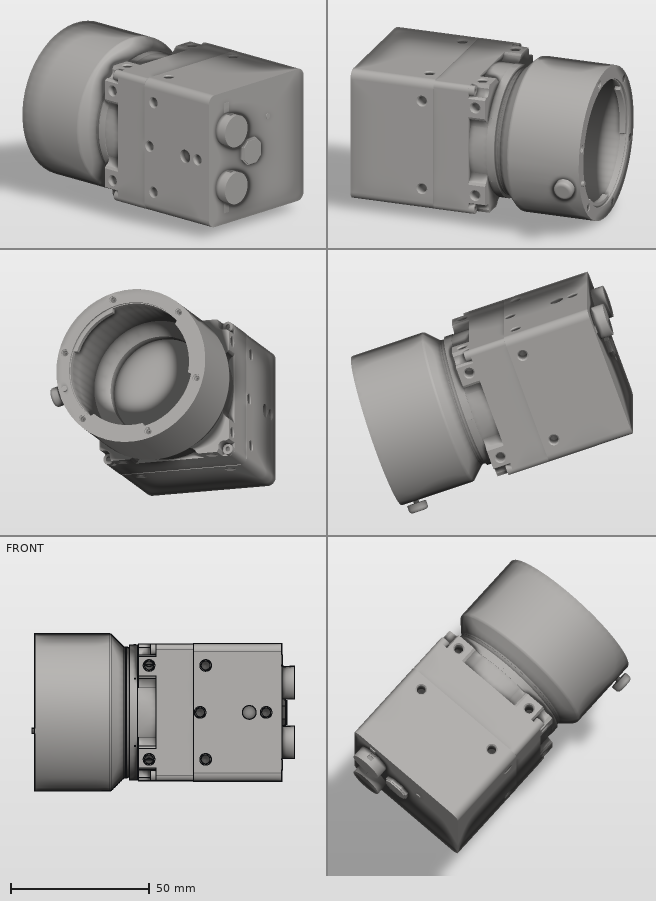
import cadquery as cq
import math


BARREL_DIAMETER = 57.0
CONE_START = 27.5
BARREL_EDGE_RADIUS = 1.2
NECK_DIAMETER = 47.5
NECK_GROOVE_START = 32.8
NECK_GROOVE_WIDTH = 0.5
NECK_GROOVE_DEPTH = 0.2
NECK_TAPER_START = NECK_GROOVE_START + NECK_GROOVE_WIDTH
NECK_TAPER_DEPTH = 0.4
FLANGE_DIAMETER = 49.0
FLANGE_START = 34.3
ADAPTER_LENGTH = 37.2

MOUTH_RADIUS = 23.6
MOUTH_DEPTH = 0.8
LIP_RADIUS = 23.3
LIP_END = 3.0
BORE_RADIUS = 23.5
BORE_CONE_START = 28.1
APERTURE_RADIUS = 18.85

TAB_ANGLES = (45.0, 165.0, 285.0)
TAB_INNER_RADIUS = 22.0
TAB_APEX_OFFSET = 10.2

RING_SCREW_COUNT = 6
RING_SCREW_START_ANGLE = 15.0
RING_SCREW_CIRCLE_RADIUS = 26.0
RING_SCREW_RECESS_DIAMETERS = (3.0, 2.2, 1.9, 0.7)
RING_SCREW_STEP_DEPTH = 0.4

RIM_HOLE_COUNT = 6
RIM_HOLE_START_ANGLE = 30.0
RIM_HOLE_DIAMETER = 0.3
RIM_HOLE_X = 36.3
RIM_HOLE_DEPTH = 1.0

LATCH_ANGLE = -15.0
PIN_DIAMETER = 2.0
PIN_CIRCLE_RADIUS = RING_SCREW_CIRCLE_RADIUS
PIN_HEIGHT = 1.0
THUMB_SCREW_X = 5.2
STEM_DIAMETER = 2.0
STEM_ROOT_RADIUS = 27.0
KNOB_DIAMETER = 7.2
KNOB_INNER_RADIUS = 29.4
KNOB_OUTER_RADIUS = 32.5
KNOB_EDGE_RADIUS = 1.2

HUB_RADIUS = 24.3
FRONT_FACE = 37.55
NOTCH_END = 44.0
FRONT_BLOCK_END = 57.5
REAR_FACE = 89.5
FRONT_BLOCK_SIZE = 49.6
FRONT_BLOCK_CORNER_RADIUS = 2.0
REAR_BLOCK_SIZE = 50.0
REAR_BLOCK_CORNER_RADIUS = 3.0

NOTCH_HALF_WIDTH = 13.1
NOTCH_WALL_HALF_WIDTH = 12.2
NOTCH_FLOOR_HALF_WIDTH = 9.05
NOTCH_LEAD_DEPTH = 0.6

CORNER_SCREW_OFFSET = 22.85
CORNER_HEAD_DIAMETER = 3.8
CORNER_HEAD_HEIGHT = 2.1
CORNER_SOCKET_DIAMETER = 1.9
CORNER_SOCKET_DEPTH = 1.2
CORNER_POCKET_RADIUS = 2.15
POCKET_FLARE_START = 0.65
POCKET_FLARE_WIDTH = 2.65

TAP_DIAMETER = 3.24
FRONT_TAP_DEPTH = 7.5
REAR_TAP_DEPTH = 5.0
TAP_CHAMFER_DIAMETER = 4.2
DRILL_POINT_ANGLE = 118.0
TAP_SPACING = 17.0
FRONT_TAP_X = 41.4
REAR_TAP_X = 61.9
MIDDLE_TAP_XS = (59.9, 83.8)
PORT_X = 77.7
PORT_DIAMETER = 4.98
PORT_DEPTH = 2.0

ROUND_CONNECTOR_DIAMETER = 11.9
ROUND_CONNECTOR_LENGTH = 4.6
ROUND_CONNECTOR_Y = -15.4
ROUND_CONNECTOR_Z = 10.8
KEYWAY_WIDTH = 2.2
KEYWAY_START = REAR_FACE + 0.6
KEYWAY_STEP = REAR_FACE + 1.4
KEYWAY_END = REAR_FACE + 2.9
KEYWAY_SHALLOW_DEPTH = 0.3
KEYWAY_DEEP_DEPTH = 0.8
SOCKET_Y = -3.8
SOCKET_SIZE = 9.6
SOCKET_CORNER_CHAMFER = 2.5
SOCKET_BASE_LENGTH = 1.3
SOCKET_LENGTH = 1.8
SOCKET_STEP = 0.5
PAD_THICKNESS = 0.3
PAD_Y = -16.0
PAD_Z = 19.0
PAD_WIDTH = 2.5
PAD_HEIGHT = 3.6
LAMP_DIAMETER = 2.0
LAMP_Y = 6.0
LAMP_Z = ROUND_CONNECTOR_Z

CLEARANCE = 1.0
MIRROR_SIGNS = (-1, 1)
QUARTER_TURNS = (0, 90, 180, 270)


def yz_plane(x):
    """Plane across the optical axis at x: local axes are Y and Z, normal +X."""
    return cq.Workplane("YZ", origin=(x, 0, 0))


def disc(x, radius, length, y=0.0, z=0.0):
    """Cylinder along +X starting at x."""
    return yz_plane(x).center(y, z).circle(radius).extrude(length)


def rounded_block(x_start, x_end, size, corner_radius):
    return yz_plane(x_start).rect(size, size).extrude(x_end - x_start).edges("|X").fillet(corner_radius)


def turned(points):
    """Solid of revolution about the X axis from (x, radius) points."""
    return cq.Workplane("XY").polyline(points).close().revolve(360, (0, 0, 0), (1, 0, 0))


def about_axis(shape, angle):
    return shape.rotate((0, 0, 0), (1, 0, 0), angle)


def adapter_shell():
    barrel_radius = BARREL_DIAMETER / 2
    neck_radius = NECK_DIAMETER / 2
    flange_radius = FLANGE_DIAMETER / 2
    cone_end = CONE_START + barrel_radius - neck_radius
    outside = turned([
        (0, 0),
        (0, barrel_radius),
        (CONE_START, barrel_radius),
        (cone_end, neck_radius),
        (NECK_TAPER_START, neck_radius),
        (FLANGE_START, neck_radius - NECK_TAPER_DEPTH),
        (FLANGE_START, flange_radius),
        (ADAPTER_LENGTH, flange_radius),
        (ADAPTER_LENGTH, 0),
    ])
    edge_reach = barrel_radius + CLEARANCE
    barrel_edge = cq.selectors.BoxSelector(
        (CONE_START - CLEARANCE, -edge_reach, -edge_reach),
        (CONE_START + CLEARANCE, edge_reach, edge_reach),
    )
    outside = outside.edges(barrel_edge).fillet(BARREL_EDGE_RADIUS)

    bore_cone_end = BORE_CONE_START + BORE_RADIUS - APERTURE_RADIUS
    inside = turned([
        (0, 0),
        (0, MOUTH_RADIUS),
        (MOUTH_DEPTH, MOUTH_RADIUS),
        (MOUTH_DEPTH, LIP_RADIUS),
        (LIP_END, LIP_RADIUS),
        (LIP_END, BORE_RADIUS),
        (BORE_CONE_START, BORE_RADIUS),
        (bore_cone_end, APERTURE_RADIUS),
        (ADAPTER_LENGTH, APERTURE_RADIUS),
        (ADAPTER_LENGTH, 0),
    ])
    groove = (
        yz_plane(NECK_GROOVE_START)
        .circle(neck_radius + CLEARANCE)
        .circle(neck_radius - NECK_GROOVE_DEPTH)
        .extrude(NECK_GROOVE_WIDTH)
    )
    return outside.cut(inside).cut(groove)


def bayonet_tab(angle):
    """Ring segment in the barrel wall, its ends on a right-angled V opening along the angle."""
    length = LIP_END - MOUTH_DEPTH
    root_radius = (LIP_RADIUS + BARREL_DIAMETER / 2) / 2
    ring = yz_plane(MOUTH_DEPTH).circle(root_radius).circle(TAB_INNER_RADIUS).extrude(length)
    wedge = (
        yz_plane(MOUTH_DEPTH)
        .rect(BARREL_DIAMETER, BARREL_DIAMETER, centered=False)
        .extrude(length)
        .rotate((0, 0, 0), (1, 0, 0), -45)
        .translate((0, TAB_APEX_OFFSET, 0))
    )
    return ring.intersect(about_axis(wedge, angle))


def ring_screw_recess():
    """Round recess that narrows in steps of equal depth down to the screw socket."""
    recess = cq.Workplane("YZ")
    for step, diameter in enumerate(RING_SCREW_RECESS_DIAMETERS, start=1):
        depth = step * RING_SCREW_STEP_DEPTH
        recess = recess.add(disc(0, diameter / 2, depth, RING_SCREW_CIRCLE_RADIUS))
    return recess.combine()


def rim_hole():
    """Small radial hole entering the flange rim on the +Y side."""
    return (
        cq.Workplane("XZ", origin=(RIM_HOLE_X, FLANGE_DIAMETER / 2, 0))
        .circle(RIM_HOLE_DIAMETER / 2)
        .extrude(RIM_HOLE_DEPTH)
    )


def index_pin():
    pin = disc(-PIN_HEIGHT, PIN_DIAMETER / 2, 2 * PIN_HEIGHT, y=PIN_CIRCLE_RADIUS)
    return about_axis(pin, LATCH_ANGLE)


def thumb_screw():
    """Stem and rounded knob along the radial direction of the latch angle."""
    stem = (
        cq.Workplane("XZ", origin=(THUMB_SCREW_X, STEM_ROOT_RADIUS, 0))
        .circle(STEM_DIAMETER / 2)
        .extrude(STEM_ROOT_RADIUS - KNOB_INNER_RADIUS)
    )
    knob = (
        cq.Workplane("XZ", origin=(THUMB_SCREW_X, KNOB_INNER_RADIUS, 0))
        .circle(KNOB_DIAMETER / 2)
        .extrude(KNOB_INNER_RADIUS - KNOB_OUTER_RADIUS)
        .faces(">Y")
        .edges()
        .fillet(KNOB_EDGE_RADIUS)
    )
    return about_axis(stem.union(knob), LATCH_ANGLE)


def build_adapter():
    body = adapter_shell()
    for angle in TAB_ANGLES:
        body = body.union(bayonet_tab(angle))
    for number in range(RING_SCREW_COUNT):
        angle = RING_SCREW_START_ANGLE + number * 360 / RING_SCREW_COUNT
        body = body.cut(about_axis(ring_screw_recess(), angle))
    for number in range(RIM_HOLE_COUNT):
        angle = RIM_HOLE_START_ANGLE + number * 360 / RIM_HOLE_COUNT
        body = body.cut(about_axis(rim_hole(), angle))
    return body.union(index_pin()).union(thumb_screw())


def side_notch():
    """Notch on the +Z side: sloped lead-ins, then concave walls running into the hub."""
    surface = FRONT_BLOCK_SIZE / 2
    above = surface + CLEARANCE
    wall_top = surface - NOTCH_LEAD_DEPTH
    floor = math.sqrt(HUB_RADIUS ** 2 - NOTCH_FLOOR_HALF_WIDTH ** 2)
    bulge = math.sqrt(0.5)
    arc_y = NOTCH_FLOOR_HALF_WIDTH + bulge * (NOTCH_WALL_HALF_WIDTH - NOTCH_FLOOR_HALF_WIDTH)
    arc_z = wall_top - bulge * (wall_top - floor)
    return (
        yz_plane(FRONT_FACE)
        .moveTo(-NOTCH_HALF_WIDTH, above)
        .lineTo(-NOTCH_HALF_WIDTH, surface)
        .lineTo(-NOTCH_WALL_HALF_WIDTH, wall_top)
        .threePointArc((-arc_y, arc_z), (-NOTCH_FLOOR_HALF_WIDTH, floor))
        .lineTo(NOTCH_FLOOR_HALF_WIDTH, floor)
        .threePointArc((arc_y, arc_z), (NOTCH_WALL_HALF_WIDTH, wall_top))
        .lineTo(NOTCH_HALF_WIDTH, surface)
        .lineTo(NOTCH_HALF_WIDTH, above)
        .close()
        .extrude(NOTCH_END - FRONT_FACE)
    )


def corner_pocket():
    """Round pocket at the +Y +Z corner, flaring out to both sides."""
    length = NOTCH_END - FRONT_FACE
    reach = FRONT_BLOCK_SIZE / 2 - CORNER_SCREW_OFFSET
    flare_root = math.sqrt(CORNER_POCKET_RADIUS ** 2 - POCKET_FLARE_START ** 2)
    center = CORNER_SCREW_OFFSET
    round_part = disc(FRONT_FACE, CORNER_POCKET_RADIUS, length, center, center)
    flare = (
        yz_plane(FRONT_FACE)
        .center(center, center)
        .polyline([
            (-flare_root, POCKET_FLARE_START),
            (-POCKET_FLARE_WIDTH, reach),
            (reach, reach),
            (reach, -POCKET_FLARE_WIDTH),
            (POCKET_FLARE_START, -flare_root),
        ])
        .close()
        .extrude(length)
    )
    return round_part.union(flare)


def corner_screw():
    center = CORNER_SCREW_OFFSET
    head_front = NOTCH_END - CORNER_HEAD_HEIGHT
    head = disc(head_front, CORNER_HEAD_DIAMETER / 2, CORNER_HEAD_HEIGHT, center, center)
    socket = disc(head_front, CORNER_SOCKET_DIAMETER / 2, CORNER_SOCKET_DEPTH, center, center)
    return head.cut(socket)


def tapped_hole(x, y, surface, depth):
    """Chamfered hole with a drill point, entering the +Z side at height surface."""
    radius = TAP_DIAMETER / 2
    mouth_radius = TAP_CHAMFER_DIAMETER / 2
    point_depth = radius / math.tan(math.radians(DRILL_POINT_ANGLE / 2))
    return (
        cq.Workplane("XZ")
        .polyline([
            (0, 0),
            (mouth_radius, 0),
            (radius, radius - mouth_radius),
            (radius, -depth),
            (0, -depth - point_depth),
        ])
        .close()
        .revolve(360, (0, 0, 0), (0, 1, 0))
        .translate((x, y, surface))
    )


def cut_side_holes(body):
    front_surface = FRONT_BLOCK_SIZE / 2
    rear_surface = REAR_BLOCK_SIZE / 2
    for turn in QUARTER_TURNS:
        for sign in MIRROR_SIGNS:
            y = sign * TAP_SPACING
            body = body.cut(about_axis(tapped_hole(FRONT_TAP_X, y, front_surface, FRONT_TAP_DEPTH), turn))
            body = body.cut(about_axis(tapped_hole(REAR_TAP_X, y, rear_surface, REAR_TAP_DEPTH), turn))
    for x in MIDDLE_TAP_XS:
        body = body.cut(about_axis(tapped_hole(x, 0, rear_surface, REAR_TAP_DEPTH), 90))
    port = (
        cq.Workplane("XZ", origin=(PORT_X, -rear_surface, 0))
        .circle(PORT_DIAMETER / 2)
        .extrude(-PORT_DEPTH)
    )
    return body.cut(port)


def keyway_step(x_start, x_end, top, depth):
    """Block that sinks a flat-bottomed stretch of keyway into the top of a connector."""
    return (
        cq.Workplane("XY", origin=(x_start, ROUND_CONNECTOR_Y, top - depth))
        .box(x_end - x_start, KEYWAY_WIDTH, 2 * depth, centered=(False, True, False))
    )


def round_connector(z):
    """Round connector with a two-level keyway sunk into its top."""
    radius = ROUND_CONNECTOR_DIAMETER / 2
    top = z + radius
    barrel = disc(REAR_FACE, radius, ROUND_CONNECTOR_LENGTH, ROUND_CONNECTOR_Y, z)
    shallow = keyway_step(KEYWAY_START, KEYWAY_STEP, top, KEYWAY_SHALLOW_DEPTH)
    deep = keyway_step(KEYWAY_STEP, KEYWAY_END, top, KEYWAY_DEEP_DEPTH)
    return barrel.cut(shallow).cut(deep)


def square_socket():
    """Stepped square socket with cut corners."""
    base = (
        yz_plane(REAR_FACE)
        .center(SOCKET_Y, 0)
        .rect(SOCKET_SIZE, SOCKET_SIZE)
        .extrude(SOCKET_BASE_LENGTH)
        .edges("|X")
        .chamfer(SOCKET_CORNER_CHAMFER)
    )
    rim_size = SOCKET_SIZE - 2 * SOCKET_STEP
    rim = (
        yz_plane(REAR_FACE)
        .center(SOCKET_Y, 0)
        .rect(rim_size, rim_size)
        .extrude(SOCKET_LENGTH)
        .edges("|X")
        .chamfer(SOCKET_CORNER_CHAMFER - SOCKET_STEP)
    )
    return base.union(rim)


def add_rear_parts(body):
    for sign in MIRROR_SIGNS:
        body = body.union(round_connector(sign * ROUND_CONNECTOR_Z))
        pad = yz_plane(REAR_FACE).center(PAD_Y, sign * PAD_Z).rect(PAD_WIDTH, PAD_HEIGHT)
        body = body.union(pad.extrude(PAD_THICKNESS))
    lamp = disc(REAR_FACE, LAMP_DIAMETER / 2, PAD_THICKNESS, LAMP_Y, LAMP_Z)
    return body.union(square_socket()).union(lamp)


def build_camera():
    front_block = rounded_block(FRONT_FACE, FRONT_BLOCK_END, FRONT_BLOCK_SIZE, FRONT_BLOCK_CORNER_RADIUS)
    for turn in QUARTER_TURNS:
        front_block = front_block.cut(about_axis(side_notch(), turn))
        front_block = front_block.cut(about_axis(corner_pocket(), turn))
    for turn in QUARTER_TURNS:
        front_block = front_block.union(about_axis(corner_screw(), turn))
    hub = disc(ADAPTER_LENGTH, HUB_RADIUS, NOTCH_END - ADAPTER_LENGTH)
    rear_block = rounded_block(FRONT_BLOCK_END, REAR_FACE, REAR_BLOCK_SIZE, REAR_BLOCK_CORNER_RADIUS)
    body = front_block.union(hub).union(rear_block)
    return add_rear_parts(cut_side_holes(body))


adapter = build_adapter()
camera = build_camera()
result = cq.Compound.makeCompound([adapter.val(), camera.val()])